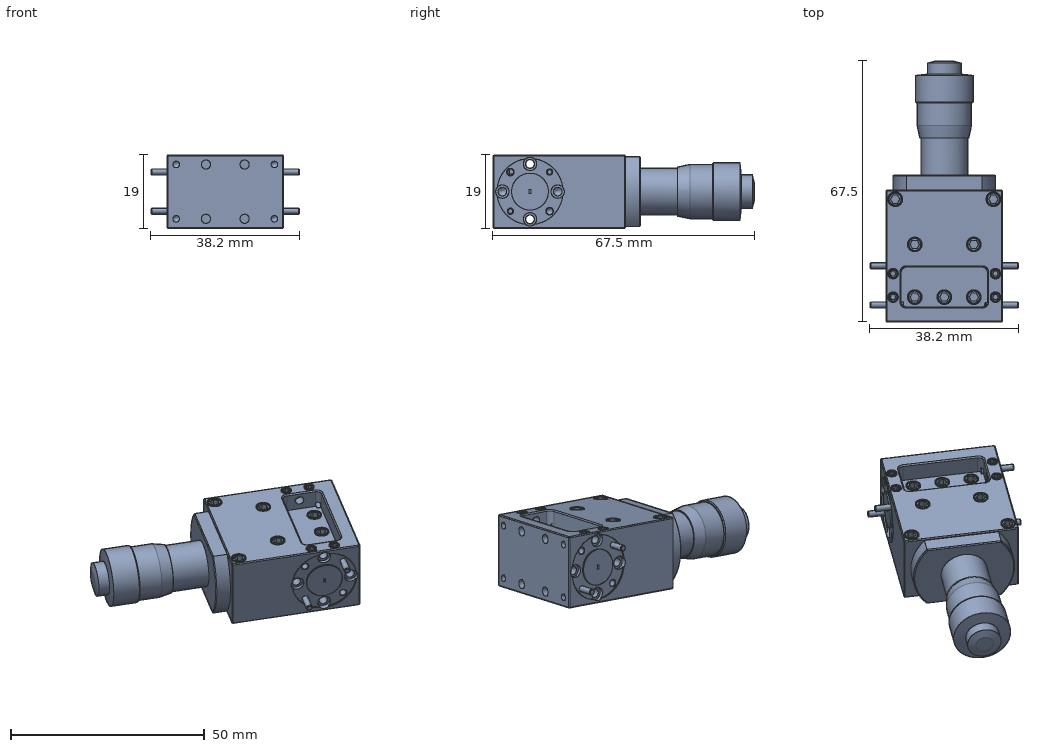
import cadquery as cq
import math

BLOCK_WIDTH = 30.1
BLOCK_LENGTH = 34.1
BLOCK_HEIGHT = 19.0
EDGE_CHAMFER = 0.3
FRONT_Y = -BLOCK_HEIGHT / 2
BACK_Y = FRONT_Y + BLOCK_LENGTH
TOP_Z = BLOCK_HEIGHT / 2
SIDE_X = BLOCK_WIDTH / 2

PLATE_DIAMETER = 26.6
PLATE_HEIGHT = 18.1
PLATE_THICKNESS = 3.9
PLATE_BACK_Y = BACK_Y + PLATE_THICKNESS

BARREL_RADIUS = 6.1
SLEEVE_NOSE_RADIUS = 6.35
SLEEVE_RADIUS = 7.0
GRIP_RADIUS = 7.5
RATCHET_RADIUS = 4.4
TIP_RADIUS = 2.3
GRIP_CHAMFER = 0.3
SLEEVE_BULGE = 0.035
SLEEVE_NOSE_Y = FRONT_Y + 47.55
SLEEVE_SHOULDER_Y = FRONT_Y + 50.8
GRIP_START_Y = FRONT_Y + 56.65
GRIP_END_Y = FRONT_Y + 63.75
RATCHET_START_Y = FRONT_Y + 64.1
RATCHET_END_Y = FRONT_Y + 66.9
TIP_Y = FRONT_Y + 67.45

RING_OUTER_DIAMETER = 17.05
RING_INNER_DIAMETER = 9.5
RING_DEPTH = 0.4
BOLT_CIRCLE_RADIUS = 7.15
BOLT_HOLE_DIAMETER = 2.2
BOLT_HOLE_DEPTH = 4.05
BOLT_RELIEF_DIAMETER = 3.45
BOLT_RELIEF_DEPTH = 1.35
WAVEGUIDE_WIDTH = 0.4
WAVEGUIDE_HEIGHT = 1.0
WAVEGUIDE_DEPTH = 2.7

PIN_DIAMETER = 1.6
PIN_SPAN = 38.25
PIN_PROJECTION = (PIN_SPAN - BLOCK_WIDTH) / 2
PIN_SEAT_DEPTH = 4.45
PIN_CHAMFER = 0.2
PIN_OFFSET = BOLT_CIRCLE_RADIUS / math.sqrt(2)
MATING_HOLE_DIAMETER = 1.7
MATING_HOLE_DEPTH = 4.05
MATING_HOLE_CHAMFER = 0.15

POCKET_WIDTH = 22.25
POCKET_FRONT_Y = -5.5
POCKET_BACK_Y = 4.7
POCKET_DEPTH = 5.0
POCKET_CORNER_RADIUS = 1.35
POCKET_CHAMFER = 0.35
RIM_MARGIN = 0.7

COUNTERBORE_CLEARANCE = 0.3
HEAD_CHAMFER = 0.2
HEAD_SINK = 0.1
LARGE_HEAD_DIAMETER = 3.5
LARGE_SOCKET = 2.4
SMALL_HEAD_DIAMETER = 2.4
SMALL_SOCKET = 1.5
REAR_SCREW_X = 12.7
REAR_SCREW_Y = 22.25
INNER_SCREW_X = 7.6
MIDDLE_SCREW_Y = 10.6
FLANGE_SCREW_X = 13.2
FLANGE_SCREW_Y = 3.05

FRONT_HOLE_Z = 7.0
TAPPED_HOLE_X = 12.7
TAPPED_HOLE_DIAMETER = 1.7
TAPPED_HOLE_DEPTH = 4.05
DOWEL_HOLE_X = 5.0
DOWEL_HOLE_DIAMETER = 2.35
DOWEL_HOLE_DEPTH = 3.05

DRILL_POINT_ANGLE = 118
SIDES = (-1, 1)


def drilled_hole(diameter, depth):
    """Cutter along -Z from the origin: a cylinder that ends in a drill point."""
    radius = diameter / 2
    point = radius / math.tan(math.radians(DRILL_POINT_ANGLE / 2))
    return (
        cq.Workplane("XZ")
        .moveTo(0, 0)
        .lineTo(radius, 0)
        .lineTo(radius, -depth)
        .lineTo(0, -depth - point)
        .close()
        .revolve(360, (0, 0, 0), (0, 1, 0))
    )


def plain_hole(diameter, depth):
    """Cutter along -Z from the origin: a flat-bottomed cylinder."""
    return cq.Workplane("XY").circle(diameter / 2).extrude(-depth)


def from_front(cutter, x, z):
    """Turn a -Z cutter so that it enters the front face."""
    return cutter.rotate((0, 0, 0), (1, 0, 0), 90).translate((x, FRONT_Y, z))


def from_side(shape, side, y, z, depth=0):
    """Turn a shape so that its +Z points out of a side face, starting at a depth below that face."""
    return shape.rotate((0, 0, 0), (0, 1, 0), side * 90).translate((side * (SIDE_X - depth), y, z))


def mounting_plate():
    """Round plate with flats on top and bottom and a chamfered back rim."""
    disc = cq.Workplane("XZ", origin=(0, BACK_Y, 0)).circle(PLATE_DIAMETER / 2).extrude(-PLATE_THICKNESS)
    flats = cq.Workplane("XY").box(PLATE_DIAMETER, PLATE_THICKNESS, PLATE_HEIGHT)
    plate = disc.intersect(flats.translate((0, BACK_Y + PLATE_THICKNESS / 2, 0)))
    return plate.faces(">Y").chamfer(EDGE_CHAMFER)


def micrometer_head():
    """Barrel, sleeve, grip and ratchet turned about the Y axis."""
    nose_middle = (
        (SLEEVE_NOSE_RADIUS + SLEEVE_RADIUS) / 2 + SLEEVE_BULGE,
        (SLEEVE_NOSE_Y + SLEEVE_SHOULDER_Y) / 2,
    )
    return (
        cq.Workplane("XY")
        .moveTo(0, PLATE_BACK_Y)
        .lineTo(BARREL_RADIUS, PLATE_BACK_Y)
        .lineTo(BARREL_RADIUS, SLEEVE_NOSE_Y)
        .lineTo(SLEEVE_NOSE_RADIUS, SLEEVE_NOSE_Y)
        .threePointArc(nose_middle, (SLEEVE_RADIUS, SLEEVE_SHOULDER_Y))
        .lineTo(SLEEVE_RADIUS, GRIP_START_Y)
        .lineTo(GRIP_RADIUS - GRIP_CHAMFER, GRIP_START_Y)
        .lineTo(GRIP_RADIUS, GRIP_START_Y + GRIP_CHAMFER)
        .lineTo(GRIP_RADIUS, GRIP_END_Y)
        .lineTo(RATCHET_RADIUS, RATCHET_START_Y)
        .lineTo(RATCHET_RADIUS, RATCHET_END_Y)
        .lineTo(TIP_RADIUS, TIP_Y)
        .lineTo(0, TIP_Y)
        .close()
        .revolve(360, (0, 0, 0), (0, 1, 0))
    )


def housing_block():
    """Chamfered block with the rounded pocket in its top face."""
    length = POCKET_BACK_Y - POCKET_FRONT_Y
    pocket = (
        cq.Workplane("XY")
        .box(POCKET_WIDTH, length, POCKET_DEPTH)
        .edges("|Z")
        .fillet(POCKET_CORNER_RADIUS)
        .translate((0, POCKET_FRONT_Y + length / 2, TOP_Z - POCKET_DEPTH / 2))
    )
    return (
        cq.Workplane("XY")
        .box(BLOCK_WIDTH, BLOCK_LENGTH, BLOCK_HEIGHT)
        .translate((0, FRONT_Y + BLOCK_LENGTH / 2, 0))
        .edges()
        .chamfer(EDGE_CHAMFER)
        .cut(pocket)
        .faces(">Z")
        .edges(cq.selectors.BoxSelector(
            (-SIDE_X + RIM_MARGIN, FRONT_Y + RIM_MARGIN, TOP_Z - RIM_MARGIN),
            (SIDE_X - RIM_MARGIN, BACK_Y - RIM_MARGIN, TOP_Z + RIM_MARGIN),
        ))
        .chamfer(POCKET_CHAMFER)
    )


def screw_recess(head_diameter, socket):
    """Cutter around a sunk screw head, below Z = 0: its clearance ring, chamfered rim and hex socket."""
    depth = head_diameter / 2
    bore = plain_hole(head_diameter + COUNTERBORE_CLEARANCE, depth)
    head = (
        cq.Workplane("XY", origin=(0, 0, -depth))
        .circle(head_diameter / 2)
        .extrude(depth - HEAD_SINK)
        .faces(">Z")
        .chamfer(HEAD_CHAMFER)
    )
    hexagon = cq.Workplane("XY").polygon(6, socket).extrude(-depth)
    return bore.cut(head).union(hexagon)


def flange_recess(side):
    """Cutter for one waveguide flange: sunk ring, bolt holes, mating holes and waveguide."""
    ring = plain_hole(RING_OUTER_DIAMETER, RING_DEPTH).cut(plain_hole(RING_INNER_DIAMETER, RING_DEPTH))
    waveguide = cq.Workplane("XY").rect(WAVEGUIDE_HEIGHT, WAVEGUIDE_WIDTH).extrude(-WAVEGUIDE_DEPTH)
    cutter = from_side(ring.union(waveguide), side, 0, 0)

    relief = plain_hole(BOLT_RELIEF_DIAMETER, BOLT_RELIEF_DEPTH)
    blind_hole = relief.union(drilled_hole(BOLT_HOLE_DIAMETER, BOLT_HOLE_DEPTH))
    through_hole = relief.union(plain_hole(BOLT_HOLE_DIAMETER, BLOCK_WIDTH / 2))
    mating_radius = MATING_HOLE_DIAMETER / 2
    countersink = cq.Workplane(cq.Solid.makeCone(
        mating_radius + MATING_HOLE_CHAMFER, mating_radius, MATING_HOLE_CHAMFER, dir=cq.Vector(0, 0, -1)
    ))
    mating_hole = drilled_hole(MATING_HOLE_DIAMETER, MATING_HOLE_DEPTH).union(countersink)
    for sign in SIDES:
        cutter = cutter.union(from_side(blind_hole, side, sign * BOLT_CIRCLE_RADIUS, 0))
        cutter = cutter.union(from_side(through_hole, side, 0, sign * BOLT_CIRCLE_RADIUS))
        mating_z = -side * sign * PIN_OFFSET
        cutter = cutter.union(from_side(mating_hole, side, sign * PIN_OFFSET, mating_z, RING_DEPTH))
    return cutter


def front_face_holes():
    """Cutter for the tapped and dowel holes along the top and bottom of the front face."""
    tapped_hole = drilled_hole(TAPPED_HOLE_DIAMETER, TAPPED_HOLE_DEPTH)
    dowel_hole = plain_hole(DOWEL_HOLE_DIAMETER, DOWEL_HOLE_DEPTH)
    cutter = cq.Workplane("XY")
    for x_sign in SIDES:
        for z_sign in SIDES:
            z = z_sign * FRONT_HOLE_Z
            cutter = cutter.add(from_front(tapped_hole, x_sign * TAPPED_HOLE_X, z))
            cutter = cutter.add(from_front(dowel_hole, x_sign * DOWEL_HOLE_X, z))
    return cutter.combine()


def top_screws():
    """Cutter for all the screws: those in the top face and the row in the pocket floor."""
    large = screw_recess(LARGE_HEAD_DIAMETER, LARGE_SOCKET)
    small = screw_recess(SMALL_HEAD_DIAMETER, SMALL_SOCKET)
    floor_z = TOP_Z - POCKET_DEPTH
    cutter = cq.Workplane("XY").add(large.translate((0, -FLANGE_SCREW_Y, floor_z)))
    for sign in SIDES:
        cutter = cutter.add(large.translate((sign * INNER_SCREW_X, -FLANGE_SCREW_Y, floor_z)))
        cutter = cutter.add(large.translate((sign * INNER_SCREW_X, MIDDLE_SCREW_Y, TOP_Z)))
        cutter = cutter.add(large.translate((sign * REAR_SCREW_X, REAR_SCREW_Y, TOP_Z)))
        for y in (-FLANGE_SCREW_Y, FLANGE_SCREW_Y):
            cutter = cutter.add(small.translate((sign * FLANGE_SCREW_X, y, TOP_Z)))
    return cutter.combine()


def alignment_pin():
    """Pin along Z with Z = 0 at the flange face and a chamfered outer end."""
    return (
        cq.Workplane("XY", origin=(0, 0, -PIN_SEAT_DEPTH))
        .circle(PIN_DIAMETER / 2)
        .extrude(PIN_SEAT_DEPTH + PIN_PROJECTION)
        .faces(">Z")
        .chamfer(PIN_CHAMFER)
    )


pins = [
    from_side(alignment_pin(), side, end * PIN_OFFSET, side * end * PIN_OFFSET)
    for side in SIDES
    for end in SIDES
]

housing = (
    housing_block()
    .union(mounting_plate())
    .union(micrometer_head())
    .cut(front_face_holes())
    .cut(top_screws())
)
for flange_side in SIDES:
    housing = housing.cut(flange_recess(flange_side))
for pin in pins:
    housing = housing.cut(pin)

result = cq.Compound.makeCompound([housing.val(), *[pin.val() for pin in pins]])